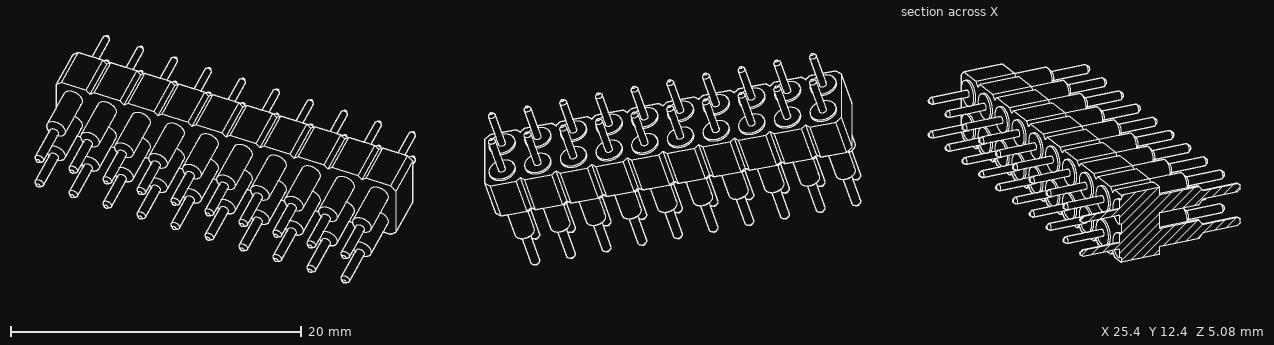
import cadquery as cq

pitch = 2.54
column_count = 10
row_count = 2

body_length = column_count * pitch
body_height = row_count * pitch
body_depth = 3.0
corner_chamfer = 0.4
notch_depth = 0.3
notch_half_width = 0.3

sleeve_radius = 0.7
sleeve_length = 3.05
cone_length = 0.32
front_pin_radius = 0.325
front_pin_length = 2.88
front_tip_radius = 0.15
front_tip_length = 0.22

flange_radius = 0.925
flange_thickness = 0.15
rear_pin_radius = 0.25
rear_pin_length = 3.0
rear_tip_radius = 0.1
rear_tip_length = 0.22

front_face = -body_depth / 2
rear_face = body_depth / 2
sleeve_end = front_face - sleeve_length
cone_end = sleeve_end - cone_length
front_end = cone_end - front_pin_length
flange_end = rear_face + flange_thickness
rear_end = flange_end + rear_pin_length


def grid_positions(count):
    """Evenly pitched coordinates centred on zero."""
    return [(index - (count - 1) / 2) * pitch for index in range(count)]


def prism_through_body(sketch):
    """Extrude an XZ sketch over the body depth, centred on Y."""
    return sketch.extrude(body_depth / 2, both=True)


def make_notch(x, side):
    """V groove in the top (side = 1) or bottom (side = -1) face, running along Y."""
    edge = side * body_height / 2
    outline = [
        (x - notch_half_width, edge),
        (x, edge - side * notch_depth),
        (x + notch_half_width, edge),
    ]
    return prism_through_body(cq.Workplane("XZ").polyline(outline).close())


def make_body():
    """Insulator bar with bevelled corners and a V groove between neighbouring columns."""
    body = prism_through_body(cq.Workplane("XZ").rect(body_length, body_height))
    body = body.edges("|Y").chamfer(corner_chamfer)
    for x in grid_positions(column_count - 1):
        for side in (1, -1):
            body = body.cut(make_notch(x, side))
    return body


def make_pin():
    """Turned pin on the Y axis, passing through the body."""
    half_profile = [
        (0, front_end),
        (front_tip_radius, front_end),
        (front_pin_radius, front_end + front_tip_length),
        (front_pin_radius, cone_end),
        (sleeve_radius, sleeve_end),
        (sleeve_radius, rear_face),
        (flange_radius, rear_face),
        (flange_radius, flange_end),
        (rear_pin_radius, flange_end),
        (rear_pin_radius, rear_end - rear_tip_length),
        (rear_tip_radius, rear_end),
        (0, rear_end),
    ]
    profile = cq.Workplane("XY").polyline(half_profile).close()
    return profile.revolve(360, (0, 0, 0), (0, 1, 0))


def make_connector():
    """Body fused with the full grid of pins."""
    connector = make_body()
    pin = make_pin()
    for x in grid_positions(column_count):
        for z in grid_positions(row_count):
            connector = connector.union(pin.translate((x, 0, z)))
    return connector


result = make_connector()